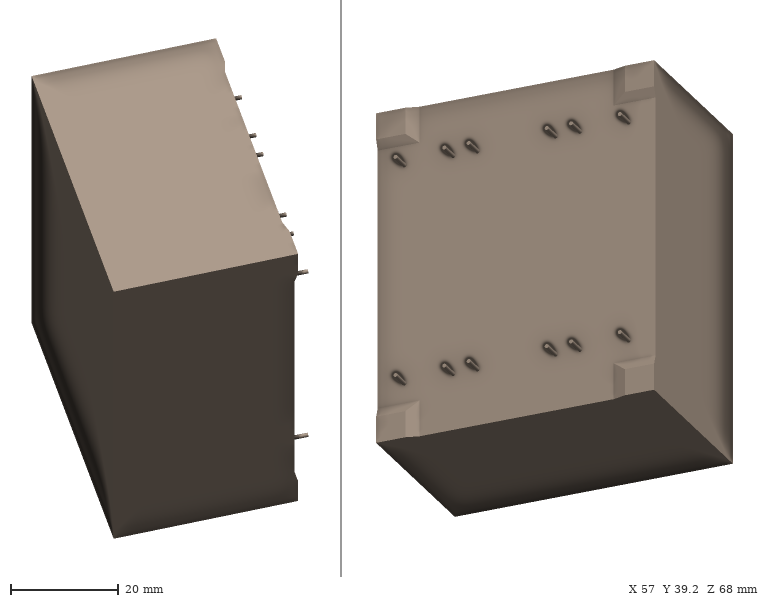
import cadquery as cq

width = 57.0
height = 68.0
overall_depth = 39.2

pin_length = 4.1
pin_diameter = 0.8
pin_columns = (8.0, 13.0, 23.0)
pin_row = 22.5

foot_height = 0.7
foot_width = 6.0
foot_length = 5.4
width_slope_run = 2.6
length_slope_run = 2.0

rear_face = overall_depth - pin_length


def make_housing():
    return cq.Workplane("XY").box(width, rear_face, height, centered=(True, False, True))


def make_ridge(outer_edge, top_width, slope_run, span):
    """Ridge along Z with a flat top and one sloping side, based on the Y = 0 plane."""
    top_edge = outer_edge - top_width
    profile = [
        (outer_edge, 0),
        (outer_edge, foot_height),
        (top_edge, foot_height),
        (top_edge - slope_run, 0),
    ]
    return cq.Workplane("XY").polyline(profile).close().extrude(span / 2, both=True)


def make_foot():
    """Foot at the +X +Z corner, where a ridge along Z and a ridge along X overlap."""
    ridge_along_z = make_ridge(width / 2, foot_width, width_slope_run, height)
    ridge_along_x = make_ridge(height / 2, foot_length, length_slope_run, width)
    ridge_along_x = ridge_along_x.rotate((0, 0, 0), (0, 1, 0), -90)
    return ridge_along_z.intersect(ridge_along_x).translate((0, rear_face, 0))


def make_feet():
    foot = make_foot()
    upper_feet = foot.union(foot.mirror("YZ"))
    return upper_feet.union(upper_feet.mirror("XY"))


def make_pins():
    centres = [
        (side * column, row)
        for column in pin_columns
        for side in (-1, 1)
        for row in (-pin_row, pin_row)
    ]
    pins = cq.Workplane("XZ").pushPoints(centres).circle(pin_diameter / 2).extrude(-pin_length)
    return pins.translate((0, rear_face, 0))


result = make_housing().union(make_feet()).union(make_pins())